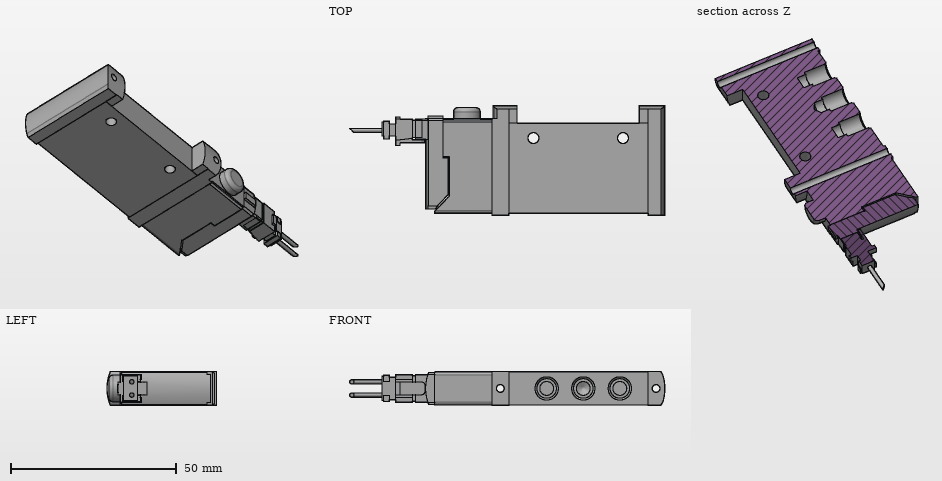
import cadquery as cq

LENGTH = 95.05
WIDTH = 33.1
HEIGHT = 10.3
HALF_HEIGHT = HEIGHT / 2

SURFACE_STEP = 0.1
BLOCK_HALF_HEIGHT = HALF_HEIGHT - SURFACE_STEP
BLOCK_START = 48.0
BLOCK_END = 90.0
BLOCK_FRONT = 0.6
BLOCK_BACK = 27.8
MOUNT_HOLE_DIAMETER = 3.2
MOUNT_HOLE_PLACES = [(55.4, 23.3), (82.4, 23.3)]

PORT_PITCH = 11.0
MIDDLE_PORT_X = 70.4
PORT_DIAMETER = 5.9
PORT_MOUTH_DIAMETER = 7.0
PORT_DEPTH = 7.6
PASSAGE_DIAMETER = 4.2
PASSAGE_DEPTH = 10.5
PASSAGE_TIP_LENGTH = 1.2

FLANGE_START = 42.9
CROWN_RISE = 1.0
END_BULGE = 0.6
END_CHAMFER_X = 0.7
END_CHAMFER_Z = 1.1
FIRST_LUG_LENGTH = 2.5
LAST_LUG_LENGTH = 2.8
LUG_HALF_HEIGHT = BLOCK_HALF_HEIGHT - SURFACE_STEP
SCREW_HOLE_DIAMETER = 2.3
SCREW_HOLE_XS = [45.4, 92.4]
STEP_DEPTH = 0.3
STEP_BOTTOM = 29.2

PILOT_START = 25.7
PILOT_FRONT_TOP = 1.2
PILOT_BACK = 28.7
PILOT_RIDGE_BACK = 29.2
PILOT_FRONT_FILLET = 0.95
PILOT_BACK_CHAMFER = 0.6
KNOB_X = 35.4
KNOB_DIAMETER = 8.1
KNOB_TOP = 32.5
KNOB_FILLET = 1.3

SEAM_X = 28.2
HOOK_X = 30.0
HOOK_BOTTOM = 5.8
HOOK_TOP = 17.6
SEAM_GAP = 0.3

COVER_HALF_HEIGHT = 4.85
COVER_START = 23.9
COVER_BULGE = 0.95
COVER_FRONT = 1.9
CHEEK_FRONT = 2.85
CHEEK_CORNER_X = 26.5
CHEEK_CORNER_TOP = 6.3
LEDGE_HALF_HEIGHT = 4.3
LEDGE_END = 25.95
COVER_BACK = 29.2
COVER_BACK_CHAMFER = 0.7
RIDGE_START = 23.6
RIDGE_BACK = 29.9
RIDGE_HALF_HEIGHT = 1.2

SOCKET_START = 19.9
SOCKET_FRONT = 22.9
SOCKET_BACK = 29.1
SOCKET_HALF_HEIGHT = 4.2
SOCKET_CHAMFER = 0.6

NOSE_FRONT = 23.4
NOSE_BACK = 28.7
NOSE_HALF_HEIGHT = 3.9
NOSE_END = 21.9
PLUG_START = 13.9
PLUG_END = 18.9
PLUG_BACK = 29.0
PLUG_HALF_HEIGHT = 4.2
CORE_FRONT = 23.6
RAIL_FRONT_START = 22.6
RAIL_FRONT_END = 23.2
RAIL_INNER_Z = 2.7
LATCH_HALF_HEIGHT = 1.9
LATCH_FRONT = 21.9
LATCH_BACK = 22.8
LATCH_END = 22.7
LATCH_END_FILLET = 0.95
TAB_LENGTH = 1.3
TAB_FRONT = 21.0
TAB_BACK = 29.7

NECK_START = 12.0
NECK_FRONT = 23.9
NECK_BACK = 27.6
NECK_HALF_HEIGHT = 3.4
COLLAR_START = 9.7
COLLAR_BACK = 28.1
COLLAR_HALF_HEIGHT = 3.7
GRIP_START = 10.3
GRIP_FRONT = 23.0
GRIP_BACK = 28.4
GRIP_INNER_Z = 2.1
GRIP_OUTER_Z = 4.0
WIRE_DIAMETER = 1.3
WIRE_Y = 25.6
WIRE_Z = 2.0


def block(x_start, x_end, y_start, y_end, z_start, z_end):
    """Box between two opposite corners."""
    size = (x_end - x_start, y_end - y_start, z_end - z_start)
    return cq.Workplane("XY").box(*size, centered=False).translate((x_start, y_start, z_start))


def centred_block(x_start, x_end, y_start, y_end, half_height):
    """Box that is symmetric about Z = 0."""
    return block(x_start, x_end, y_start, y_end, -half_height, half_height)


def prism(outline, half_height):
    """Closed XY outline extruded symmetrically about Z = 0."""
    return cq.Workplane("XY").polyline(outline).close().extrude(half_height, both=True)


def rod_along_y(x, diameter, y_start, y_end):
    """Cylinder along Y at Z = 0."""
    return cq.Workplane("XZ", origin=(x, y_start, 0)).circle(diameter / 2).extrude(y_start - y_end)


def crowned_bar(x_start, x_end):
    """Flange bar over the full width whose back face is crowned across Z."""
    edge_y = WIDTH - CROWN_RISE
    return (
        cq.Workplane("YZ", origin=(x_start, 0, 0))
        .moveTo(0, -HALF_HEIGHT)
        .lineTo(edge_y, -HALF_HEIGHT)
        .threePointArc((WIDTH, 0), (edge_y, HALF_HEIGHT))
        .lineTo(0, HALF_HEIGHT)
        .close()
        .extrude(x_end - x_start)
    )


def bulged_end(tip_x, direction):
    """Full-width bar with chamfered corners and a bulged outer face at tip_x, facing direction along X."""
    arc_x = tip_x - direction * END_BULGE
    arc_z = HALF_HEIGHT - END_CHAMFER_Z
    corner_x = arc_x - direction * END_CHAMFER_X
    inner_x = tip_x - direction * (LENGTH - BLOCK_END + LAST_LUG_LENGTH)
    return (
        cq.Workplane("XZ")
        .moveTo(inner_x, -HALF_HEIGHT)
        .lineTo(corner_x, -HALF_HEIGHT)
        .lineTo(arc_x, -arc_z)
        .threePointArc((tip_x, 0), (arc_x, arc_z))
        .lineTo(corner_x, HALF_HEIGHT)
        .lineTo(inner_x, HALF_HEIGHT)
        .close()
        .extrude(-WIDTH)
    )


def make_first_flange():
    """Flange next to the pilot, whose upper part steps back to a bulged end."""
    lug_end = BLOCK_START + FIRST_LUG_LENGTH
    bar = crowned_bar(FLANGE_START, lug_end)
    upper = centred_block(FLANGE_START, lug_end, STEP_BOTTOM, WIDTH, HALF_HEIGHT)
    bulged_upper = bar.intersect(upper).intersect(bulged_end(FLANGE_START + STEP_DEPTH, -1))
    return bar.cut(upper).union(bulged_upper)


def make_flanges():
    """Both flanges, each with a thinner lug that overhangs the back of the block."""
    last_bar = crowned_bar(BLOCK_END - LAST_LUG_LENGTH, LENGTH)
    flanges = make_first_flange().union(last_bar.intersect(bulged_end(LENGTH, 1)))
    lug_space = centred_block(BLOCK_START, BLOCK_END, BLOCK_BACK, WIDTH, LUG_HALF_HEIGHT)
    lugs = flanges.intersect(lug_space)
    return flanges.cut(centred_block(BLOCK_START, BLOCK_END, 0, WIDTH, HALF_HEIGHT)).union(lugs)


def make_port(x, pointed):
    """Cutter for a countersunk port with a narrower passage at its bottom."""
    mouth_radius = PORT_MOUTH_DIAMETER / 2
    port_radius = PORT_DIAMETER / 2
    passage_radius = PASSAGE_DIAMETER / 2
    tip = PASSAGE_DEPTH + (PASSAGE_TIP_LENGTH if pointed else 0)
    profile = [
        (0, 0),
        (mouth_radius, 0),
        (port_radius, mouth_radius - port_radius),
        (port_radius, PORT_DEPTH),
        (passage_radius, PORT_DEPTH),
        (passage_radius, PASSAGE_DEPTH),
        (0, tip),
    ]
    cutter = cq.Workplane("XY").polyline(profile).close().revolve(360, (0, 0, 0), (0, 1, 0))
    return cutter.translate((x, BLOCK_FRONT, 0))


def make_knob():
    """Round override knob with a rounded top edge."""
    knob = rod_along_y(KNOB_X, KNOB_DIAMETER, PILOT_BACK, KNOB_TOP)
    return knob.faces(">Y").edges().fillet(KNOB_FILLET)


def make_pilot():
    """Pilot section with its hooked edge towards the cover, back ridge and knob."""
    profile = (
        centred_block(PILOT_START, FLANGE_START, BLOCK_FRONT, PILOT_BACK, BLOCK_HALF_HEIGHT)
        .edges("|X and <Y")
        .fillet(PILOT_FRONT_FILLET)
        .edges("|X and >Y")
        .chamfer(PILOT_BACK_CHAMFER)
    )
    outline = [
        (PILOT_START, BLOCK_FRONT),
        (PILOT_START, PILOT_FRONT_TOP),
        (HOOK_X, HOOK_BOTTOM),
        (HOOK_X, HOOK_TOP),
        (SEAM_X, HOOK_TOP),
        (SEAM_X, PILOT_BACK),
        (FLANGE_START, PILOT_BACK),
        (FLANGE_START, BLOCK_FRONT),
    ]
    ridge = centred_block(
        SEAM_X, FLANGE_START, PILOT_BACK, PILOT_RIDGE_BACK, BLOCK_HALF_HEIGHT - PILOT_BACK_CHAMFER
    )
    return profile.intersect(prism(outline, BLOCK_HALF_HEIGHT)).union(ridge).union(make_knob())


def make_valve():
    """Valve body: block, flanges and pilot section, with all holes and ports."""
    valve = centred_block(BLOCK_START, BLOCK_END, BLOCK_FRONT, BLOCK_BACK, BLOCK_HALF_HEIGHT)
    valve = valve.union(make_flanges()).union(make_pilot())
    for x, y in MOUNT_HOLE_PLACES:
        hole = cq.Workplane("XY").center(x, y).circle(MOUNT_HOLE_DIAMETER / 2).extrude(HEIGHT, both=True)
        valve = valve.cut(hole)
    for x in SCREW_HOLE_XS:
        valve = valve.cut(rod_along_y(x, SCREW_HOLE_DIAMETER, 0, WIDTH))
    for step in (-1, 0, 1):
        valve = valve.cut(make_port(MIDDLE_PORT_X + step * PORT_PITCH, pointed=step == 0))
    return valve


def make_plug_nose():
    """Front end of the plug, which fills the pocket in the socket."""
    return centred_block(PLUG_END, NOSE_END, NOSE_FRONT, NOSE_BACK, NOSE_HALF_HEIGHT)


def make_cover():
    """Bulged end cover with side cheeks, a ledge and a pocketed socket."""
    hook_edge = HOOK_X - SEAM_GAP
    cheek_outline = [
        (COVER_START - COVER_BULGE, CHEEK_FRONT),
        (CHEEK_CORNER_X, CHEEK_FRONT),
        (hook_edge, CHEEK_CORNER_TOP),
        (hook_edge, HOOK_TOP - SEAM_GAP),
        (SEAM_X, HOOK_TOP - SEAM_GAP),
        (SEAM_X, COVER_BACK),
        (COVER_START - COVER_BULGE, COVER_BACK),
    ]
    cheeks = prism(cheek_outline, COVER_HALF_HEIGHT).edges("|X and >Y").chamfer(COVER_BACK_CHAMFER)
    ledge_outline = [
        (COVER_START - COVER_BULGE, COVER_FRONT),
        (LEDGE_END, COVER_FRONT),
        (CHEEK_CORNER_X, CHEEK_FRONT),
        (COVER_START - COVER_BULGE, CHEEK_FRONT),
    ]
    ledge = prism(ledge_outline, LEDGE_HALF_HEIGHT)
    bulged_envelope = (
        cq.Workplane("XZ")
        .moveTo(HOOK_X, -COVER_HALF_HEIGHT)
        .lineTo(COVER_START, -COVER_HALF_HEIGHT)
        .threePointArc((COVER_START - COVER_BULGE, 0), (COVER_START, COVER_HALF_HEIGHT))
        .lineTo(HOOK_X, COVER_HALF_HEIGHT)
        .close()
        .extrude(-WIDTH)
    )
    ridge = centred_block(RIDGE_START, SEAM_X, COVER_BACK, RIDGE_BACK, RIDGE_HALF_HEIGHT)
    cover = cheeks.union(ledge).intersect(bulged_envelope).union(ridge)
    return cover.union(make_socket()).cut(make_plug_nose())


def make_socket():
    """Solid outer shape of the socket."""
    return (
        centred_block(SOCKET_START, COVER_START, SOCKET_FRONT, SOCKET_BACK, SOCKET_HALF_HEIGHT)
        .edges("|X and >Y")
        .chamfer(SOCKET_CHAMFER)
    )


def make_latch():
    """Latch arm along the front of the plug, with tabs at its root."""
    arm = (
        centred_block(PLUG_START, LATCH_END, LATCH_FRONT, LATCH_BACK, LATCH_HALF_HEIGHT)
        .edges("|Y and >X")
        .fillet(LATCH_END_FILLET)
    )
    root = centred_block(PLUG_START, PLUG_END, LATCH_BACK, CORE_FRONT, LATCH_HALF_HEIGHT)
    tab_end = PLUG_START + TAB_LENGTH
    front_tab = centred_block(PLUG_START, tab_end, TAB_FRONT, LATCH_FRONT, LATCH_HALF_HEIGHT)
    back_tab = centred_block(PLUG_START, tab_end, PLUG_BACK, TAB_BACK, LATCH_HALF_HEIGHT)
    return arm.union(root).union(front_tab).union(back_tab)


def make_rails():
    """Two sloping rails that run along the outer edges of the plug's front face."""
    outline = [
        (PLUG_START, CORE_FRONT),
        (PLUG_START, RAIL_FRONT_START),
        (PLUG_END, RAIL_FRONT_END),
        (PLUG_END, CORE_FRONT),
    ]
    full_height = prism(outline, PLUG_HALF_HEIGHT)
    middle = centred_block(PLUG_START, PLUG_END, RAIL_FRONT_START, CORE_FRONT, RAIL_INNER_Z)
    return full_height.cut(middle)


def make_wire(z):
    """Wire whose free end is cut at 45 degrees."""
    radius = WIRE_DIAMETER / 2
    wire = cq.Workplane("YZ").center(WIRE_Y, z).circle(radius).extrude(COLLAR_START)
    bevel = [
        (0, WIRE_Y - radius),
        (WIRE_DIAMETER, WIRE_Y - radius),
        (0, WIRE_Y + radius),
    ]
    return wire.cut(prism(bevel, HALF_HEIGHT))


def make_plug():
    """Plug with its strain relief and two wires."""
    plug = centred_block(PLUG_START, PLUG_END, CORE_FRONT, PLUG_BACK, PLUG_HALF_HEIGHT)
    neck = centred_block(NECK_START, PLUG_START, NECK_FRONT, NECK_BACK, NECK_HALF_HEIGHT)
    collar = centred_block(COLLAR_START, NECK_START, NECK_FRONT, COLLAR_BACK, COLLAR_HALF_HEIGHT)
    for feature in (make_rails(), make_plug_nose(), make_latch(), neck, collar):
        plug = plug.union(feature)
    for side in (-1, 1):
        z_start, z_end = sorted((side * GRIP_INNER_Z, side * GRIP_OUTER_Z))
        plug = plug.union(block(GRIP_START, NECK_START, GRIP_FRONT, GRIP_BACK, z_start, z_end))
        plug = plug.union(make_wire(side * WIRE_Z))
    return plug


valve = make_valve()
cover = make_cover()
plug = make_plug()

result = cq.Compound.makeCompound([valve.val(), cover.val(), plug.val()])